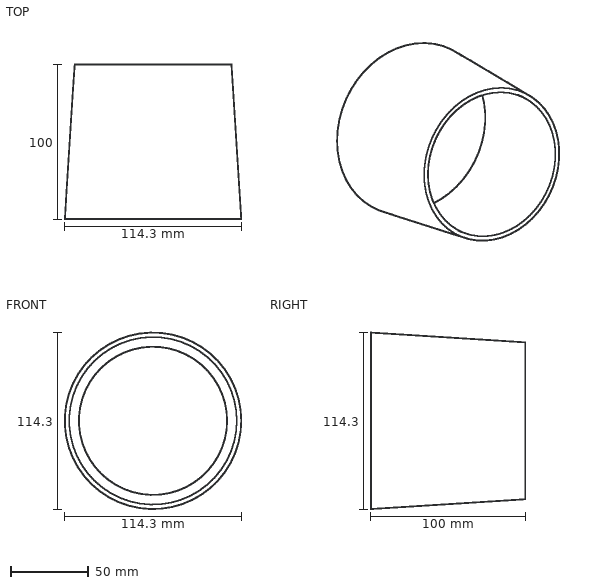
import cadquery as cq

wide_diameter = 114.3
narrow_diameter = 101.6
length = 100.0
wall = 3.0

wide_radius = wide_diameter / 2
narrow_radius = narrow_diameter / 2

wall_section = [
    (wide_radius - wall, 0),
    (wide_radius, 0),
    (narrow_radius, length),
    (narrow_radius - wall, length),
]

result = (
    cq.Workplane("XY")
    .polyline(wall_section)
    .close()
    .revolve(360, (0, 0, 0), (0, 1, 0))
)